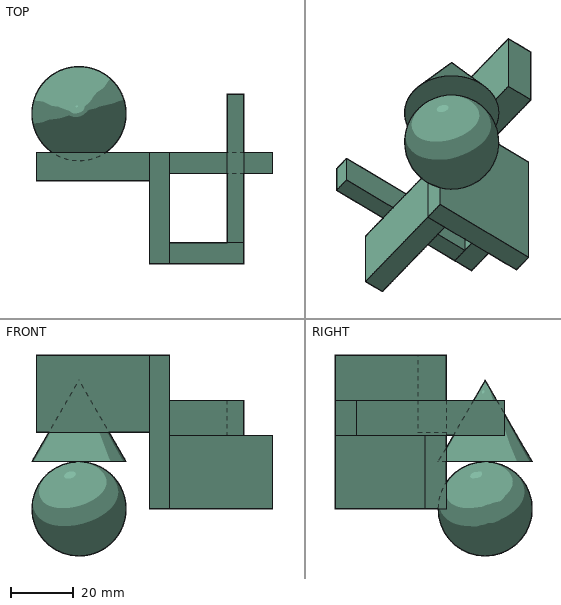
import cadquery as cq


plate_thickness = 6.4
plate_depth = 35.4
plate_height = 48.85

side_block_length = 35.9
side_block_depth = 9.0
side_block_height = 24.5

lower_block_length = 32.8
lower_block_depth = 6.75
lower_block_height = 23.35

bar_height = 11.1
front_bar_length = 23.6
front_bar_depth = 6.75
long_bar_width = 5.3
long_bar_length = 47.2

ball_radius = 15.0
cone_height = 25.9
ball_x = -22.35
ball_y = 12.3
ball_z = 0.0


def make_box(x_min, y_min, z_min, length, depth, height):
    """Box given by its lower front left corner and its size."""
    box = cq.Workplane("XY").box(length, depth, height, centered=False)
    return box.translate((x_min, y_min, z_min))


def make_plate():
    return make_box(0, -plate_depth, 0, plate_thickness, plate_depth, plate_height)


def make_side_block():
    bottom = plate_height - side_block_height
    return make_box(
        -side_block_length, -side_block_depth, bottom,
        side_block_length, side_block_depth, side_block_height,
    )


def make_lower_block():
    return make_box(
        plate_thickness, -lower_block_depth, 0,
        lower_block_length, lower_block_depth, lower_block_height,
    )


def make_front_bar():
    return make_box(
        plate_thickness, -plate_depth, lower_block_height,
        front_bar_length, front_bar_depth, bar_height,
    )


def make_long_bar():
    """Bar running back from the right end of the front bar, over the lower block."""
    left = plate_thickness + front_bar_length - long_bar_width
    front = -plate_depth + front_bar_depth
    return make_box(left, front, lower_block_height, long_bar_width, long_bar_length, bar_height)


def make_ball():
    return cq.Workplane("XY").sphere(ball_radius).translate((ball_x, ball_y, ball_z))


def make_cone():
    """Pointed cone, as wide as the ball, with its base touching the ball's top."""
    profile = (
        cq.Workplane("XZ")
        .lineTo(ball_radius, 0)
        .lineTo(0, cone_height)
        .close()
    )
    cone = profile.revolve(360, (0, 0, 0), (0, 1, 0))
    return cone.translate((ball_x, ball_y, ball_z + ball_radius))


plate = make_plate()
side_block = make_side_block()
lower_block = make_lower_block()
front_bar = make_front_bar()
long_bar = make_long_bar()
ball = make_ball()
cone = make_cone()

result = cq.Compound.makeCompound([
    plate.val(),
    side_block.val(),
    lower_block.val(),
    front_bar.val(),
    long_bar.val(),
    ball.val(),
    cone.val(),
])